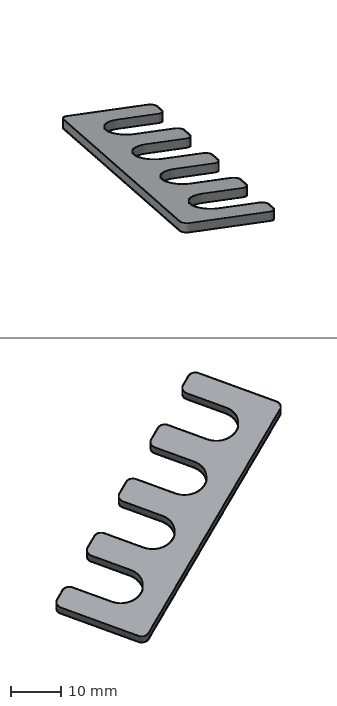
import cadquery as cq

length = 65.0
width = 20.0
thickness = 2.0
corner_radius = 1.5

slot_count = 4
slot_pitch = 15.0
slot_width = 8.8
slot_depth = 14.4


def make_plate():
    """Flat rectangular plate centred in X and Y, resting on Z = 0."""
    return cq.Workplane("XY").box(length, width, thickness, centered=(True, True, False))


def make_slot(center_x):
    """Cutter for one slot, open at the +Y edge with a full-round inner end."""
    radius = slot_width / 2
    mouth_y = width / 2
    inner_y = mouth_y - slot_depth
    arc_center_y = inner_y + radius
    return (
        cq.Workplane("XY")
        .moveTo(center_x - radius, mouth_y)
        .lineTo(center_x - radius, arc_center_y)
        .threePointArc((center_x, inner_y), (center_x + radius, arc_center_y))
        .lineTo(center_x + radius, mouth_y)
        .close()
        .extrude(thickness)
    )


def round_corners(plate):
    """Round the plate corners and finger tips, all of which lie on the two long edges."""
    tip_corners = plate.faces(">Y").edges("|Z")
    base_corners = plate.faces("<Y").edges("|Z")
    return plate.newObject(tip_corners.vals() + base_corners.vals()).fillet(corner_radius)


comb = make_plate()
for index in range(slot_count):
    slot_x = (index - (slot_count - 1) / 2) * slot_pitch
    comb = comb.cut(make_slot(slot_x))

result = round_corners(comb)